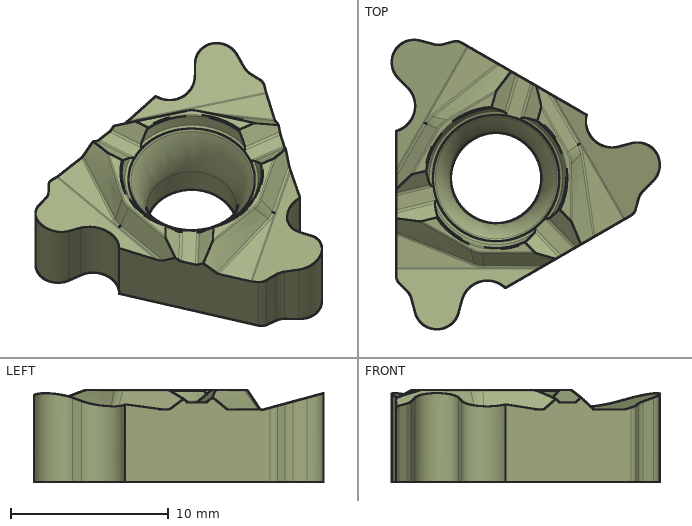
import cadquery as cq
import math

overall_length = 18.35
overall_width = 17.0
height = 5.84
teeth = 3
pitch_angle = 360.0 / teeth
cut_margin = 0.92
tolerance = 0.0002

side_distance = 6.33
tip_radius = 1.43
flank_angle = 15.0
gullet_radius = 1.65
relief_radius = 1.1
corner_radius = 0.66
corner_y = -6.2
slope_angle = 45.0

tip_y = (2 * tip_radius - overall_width) / math.sqrt(3)
tip_x = -(overall_length - 2 * tip_radius + 1.5 * tip_y) / math.sin(math.radians(60))

floor_z = 4.59
ramp_start = 5.73
ramp_angle = 15.2
ramp_blend_radius = 0.31

foot_distance = 5.58
crest_distance = 4.75
slant_at_foot = 21.5
slant_at_crest = 29.5
wall_blend_radius = 1.84
foot_blend_radius = 0.17
crest_round_radius = 0.13

slot_direction = 194.0
slot_floor_z = 5.03
slot_floor_width = 1.08
slot_top_width = 3.03
slot_blend_radius = 0.28

bore_radius = 5.7 / 2
seat_radius = 3.85
seat_depth = 2.94
seat_rim_radius = 4.0
seat_top_z = 4.9
recess_foot_radius = 4.18
recess_top_radius = 4.45
recess_blend_radius = 0.15
recess_lip_radius = 0.083


def on_circle(center, radius, angle):
    a = math.radians(angle)
    return (center[0] + radius * math.cos(a), center[1] + radius * math.sin(a))


def turned(point, angle):
    a = math.radians(angle)
    x, y = point
    return (x * math.cos(a) - y * math.sin(a), x * math.sin(a) + y * math.cos(a))


def meet(normal_angle_1, distance_1, normal_angle_2, distance_2):
    """Crossing point of two lines given by normal direction and distance from the axis."""
    a = math.radians(normal_angle_1)
    b = math.radians(normal_angle_2)
    span = math.sin(b - a)
    x = (distance_1 * math.sin(b) - distance_2 * math.sin(a)) / span
    y = (distance_2 * math.cos(a) - distance_1 * math.cos(b)) / span
    return (x, y)


def line_distance(point, normal_angle):
    a = math.radians(normal_angle)
    return point[0] * math.cos(a) + point[1] * math.sin(a)


def repeat_around(solid):
    copies = solid
    for i in range(1, teeth):
        copies = copies.union(solid.rotate((0, 0, 0), (0, 0, 1), i * pitch_angle))
    return copies


def central_edges(z):
    """Selector for edges centred near the axis at one height."""
    reach = overall_length / 2
    return cq.selectors.BoxSelector((-reach, -reach, z - tolerance), (reach, reach, z + tolerance))


class RingEdge(cq.Selector):
    """Full circles around the axis with one radius at one height."""

    def __init__(self, radius, z):
        self.radius = radius
        self.z = z

    def matches(self, edge):
        if edge.geomType() != "CIRCLE":
            return False
        return abs(edge.radius() - self.radius) < tolerance and abs(edge.startPoint().z - self.z) < tolerance

    def filter(self, edges):
        return [edge for edge in edges if self.matches(edge)]


def body_outline():
    tip = (tip_x, tip_y)
    corner = (corner_radius - side_distance, corner_y)

    slope_normal = 180 + slope_angle
    flank_normal = 180 + flank_angle
    slope_distance = line_distance(corner, slope_normal) + corner_radius
    flank_distance = line_distance(tip, flank_normal) + tip_radius
    relief = meet(slope_normal, slope_distance + relief_radius, flank_normal, flank_distance + relief_radius)

    gullet_reach = (tip_radius + gullet_radius) / math.cos(math.radians(flank_angle))
    gullet = (tip_x + gullet_reach, tip_y)
    gullet_start = 180 - flank_angle
    side_normal = 180 + pitch_angle
    side_gap = side_distance - line_distance(gullet, side_normal)
    gullet_end = side_normal - 360 + math.degrees(math.acos(side_gap / gullet_radius))

    outline = cq.Workplane("XY").moveTo(*on_circle(corner, corner_radius, 180))
    for i in range(teeth):
        def arc(path, center, radius, start, end):
            line_end = turned(on_circle(center, radius, start), i * pitch_angle)
            middle = turned(on_circle(center, radius, (start + end) / 2), i * pitch_angle)
            arc_end = turned(on_circle(center, radius, end), i * pitch_angle)
            if i > 0 or center != corner:
                path = path.lineTo(*line_end)
            return path.threePointArc(middle, arc_end)

        outline = arc(outline, corner, corner_radius, 180, slope_normal)
        outline = arc(outline, relief, relief_radius, slope_angle, flank_angle)
        outline = arc(outline, tip, tip_radius, flank_normal, 360 - flank_angle)
        outline = arc(outline, gullet, gullet_radius, gullet_start, gullet_end)
    return outline.close()


def floor_slab():
    side = 3 * overall_length
    return cq.Workplane("XY").rect(side, side).extrude(floor_z)


def tooth_ramp():
    reach = overall_length
    rise = reach * math.tan(math.radians(ramp_angle))
    return (
        cq.Workplane("YZ")
        .polyline([(-ramp_start, floor_z), (-ramp_start - reach, floor_z + rise), (-ramp_start - reach, floor_z)])
        .close()
        .extrude(overall_width, both=True)
    )


def ramped_base():
    base = floor_slab().union(repeat_around(tooth_ramp()))
    return base.edges(central_edges(floor_z)).fillet(ramp_blend_radius)


def wall_corners(distance, slant):
    """Hexagon of alternating straight and slanted walls, counter-clockwise."""
    straight_normal = -90
    slanted_normal = straight_normal - slant
    next_slanted = slanted_normal + pitch_angle
    entry = meet(slanted_normal, distance, straight_normal, distance)
    leave = meet(straight_normal, distance, next_slanted, distance)
    return [turned(p, i * pitch_angle) for i in range(teeth) for p in (entry, leave)]


def raised_centre():
    foot = wall_corners(foot_distance, slant_at_foot)
    crest = wall_corners(crest_distance, slant_at_crest)
    centre = (
        cq.Workplane("XY", origin=(0, 0, floor_z))
        .polyline(foot)
        .close()
        .workplane(offset=height - floor_z)
        .polyline(crest)
        .close()
        .loft(ruled=True)
    )
    for foot_point, crest_point in list(zip(foot, crest))[::2]:
        middle_x = (foot_point[0] + crest_point[0]) / 2
        middle_y = (foot_point[1] + crest_point[1]) / 2
        middle = (middle_x, middle_y, (floor_z + height) / 2)
        centre = centre.edges(cq.selectors.NearestToPointSelector(middle)).fillet(wall_blend_radius)
    centre = centre.faces(">Z").edges().fillet(crest_round_radius)

    slab = floor_slab().union(centre)
    return slab.edges(central_edges(floor_z)).fillet(foot_blend_radius)


def radial_slot():
    widening = (slot_top_width - slot_floor_width) / (height - slot_floor_z)
    top_z = height + cut_margin
    half_floor = slot_floor_width / 2
    half_top = half_floor + widening / 2 * (top_z - slot_floor_z)
    section = [(-half_floor, slot_floor_z), (half_floor, slot_floor_z), (half_top, top_z), (-half_top, top_z)]
    slot = cq.Workplane("YZ").polyline(section).close().extrude(overall_length)
    slot = slot.faces("<Z").edges("|X").fillet(slot_blend_radius)
    return slot.rotate((0, 0, 0), (0, 0, 1), slot_direction)


def seat_cutter():
    spread = seat_radius - bore_radius
    flare_radius = (spread ** 2 + seat_depth ** 2) / (2 * spread)
    flare_angle = math.asin(seat_depth / flare_radius)
    flare_start_z = seat_top_z - seat_depth
    flare_center = (bore_radius + flare_radius, flare_start_z)
    flare_middle = on_circle(flare_center, flare_radius, 180 - math.degrees(flare_angle) / 2)
    return (
        cq.Workplane("XZ")
        .moveTo(0, -cut_margin)
        .lineTo(bore_radius, -cut_margin)
        .lineTo(bore_radius, flare_start_z)
        .threePointArc(flare_middle, (seat_radius, seat_top_z))
        .lineTo(seat_rim_radius, slot_floor_z)
        .lineTo(recess_foot_radius, slot_floor_z)
        .lineTo(recess_top_radius, height)
        .lineTo(recess_top_radius, height + cut_margin)
        .lineTo(0, height + cut_margin)
        .close()
        .revolve(360, (0, 0, 0), (0, 1, 0))
        .edges(RingEdge(recess_foot_radius, slot_floor_z))
        .fillet(recess_blend_radius)
    )


body = body_outline().extrude(height)
part = body.intersect(ramped_base()).union(body.intersect(raised_centre()))
part = part.cut(seat_cutter())
part = part.edges(RingEdge(recess_top_radius, height)).fillet(recess_lip_radius)
result = part.cut(repeat_around(radial_slot()))